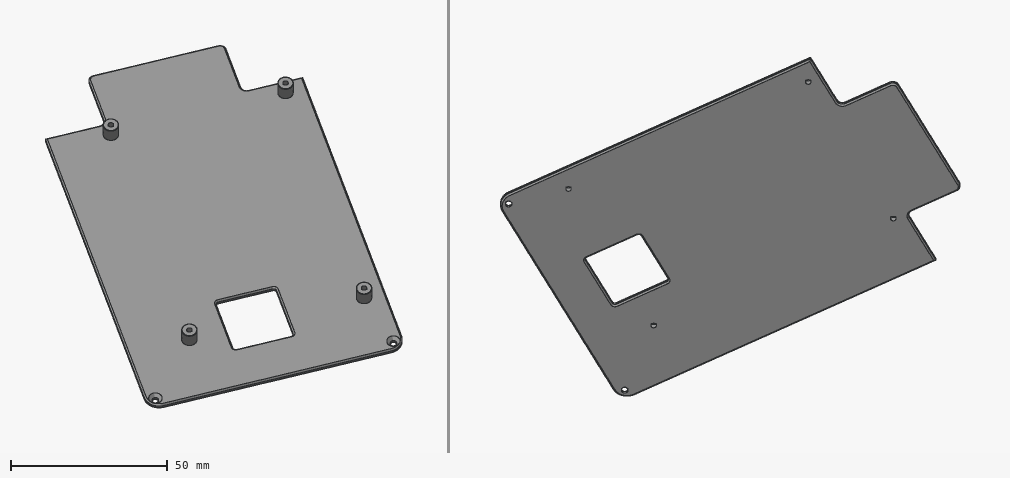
import cadquery as cq

OVERALL_LENGTH = 133.7
PLATE_WIDTH = 85.7
PLATE_THICKNESS = 2.0
TAB_LENGTH = 20.0
TAB_WIDTH = 45.6
TAB_TIP_RADIUS = 2.0
TAB_ROOT_RADIUS = 2.0
END_CORNER_RADIUS = 5.0
EDGE_CHAMFER = 0.5

WINDOW_SIZE = 20.0
WINDOW_CENTER_X = 108.8
WINDOW_CORNER_RADIUS = 1.0

SCREW_INSET = 3.2
SCREW_HOLE_DIAMETER = 2.1
COUNTERSINK_DIAMETER = 4.3
COUNTERSINK_ANGLE = 90.0

STANDOFF_DIAMETER = 5.0
STANDOFF_HEIGHT = 5.0
STANDOFF_BORE = 1.7
STANDOFF_FIRST_X = 24.6
STANDOFF_PITCH_X = 86.4
STANDOFF_PITCH_Y = 58.2
STANDOFF_CENTER_Y = 6.7
STANDOFF_TIP_CHAMFER = 0.1

body_length = OVERALL_LENGTH - TAB_LENGTH
screw_x = OVERALL_LENGTH - SCREW_INSET
screw_offset_y = PLATE_WIDTH / 2 - SCREW_INSET
screw_points = [(screw_x, -screw_offset_y), (screw_x, screw_offset_y)]
standoff_points = [
    (STANDOFF_FIRST_X + column * STANDOFF_PITCH_X, STANDOFF_CENTER_Y + side * STANDOFF_PITCH_Y / 2)
    for column in (0, 1)
    for side in (-1, 1)
]


def make_plate_blank():
    """Tabbed outline with rounded corners, lying on Z = 0 with the tab tip at X = 0."""
    body = cq.Workplane("XY", origin=(TAB_LENGTH, 0, 0)).box(
        body_length, PLATE_WIDTH, PLATE_THICKNESS, centered=(False, True, False)
    )
    tab = cq.Workplane("XY").box(
        TAB_LENGTH, TAB_WIDTH, PLATE_THICKNESS, centered=(False, True, False)
    )
    blank = body.union(tab).clean()
    tab_roots = [
        cq.selectors.NearestToPointSelector((TAB_LENGTH, side * TAB_WIDTH / 2, PLATE_THICKNESS / 2))
        for side in (-1, 1)
    ]
    blank = blank.edges(tab_roots[0] + tab_roots[1]).fillet(TAB_ROOT_RADIUS)
    blank = blank.edges("|Z and <X").fillet(TAB_TIP_RADIUS)
    return blank.edges("|Z and >X").fillet(END_CORNER_RADIUS)


def cut_window(plate):
    window = (
        cq.Workplane("XY")
        .center(WINDOW_CENTER_X, 0)
        .rect(WINDOW_SIZE, WINDOW_SIZE)
        .extrude(PLATE_THICKNESS)
        .edges("|Z")
        .fillet(WINDOW_CORNER_RADIUS)
    )
    return plate.cut(window)


def cut_screw_holes(plate):
    top = plate.faces(">Z").workplane(origin=(0, 0, PLATE_THICKNESS))
    return top.pushPoints(screw_points).cskHole(
        SCREW_HOLE_DIAMETER, COUNTERSINK_DIAMETER, COUNTERSINK_ANGLE
    )


def cut_standoff_bores(plate):
    """Holes through the plate that continue the standoff bores."""
    top = plate.faces(">Z").workplane(origin=(0, 0, PLATE_THICKNESS))
    return top.pushPoints(standoff_points).hole(STANDOFF_BORE)


def make_plate():
    """Plate with all outline and window rims chamfered before the round holes are cut."""
    plate = cut_window(make_plate_blank())
    plate = plate.faces("|Z").edges().chamfer(EDGE_CHAMFER)
    plate = cut_screw_holes(plate)
    return cut_standoff_bores(plate)


def make_standoff(x, y):
    """Tube with a chamfered outer tip, standing on the top face of the plate."""
    post = (
        cq.Workplane("XY", origin=(x, y, PLATE_THICKNESS))
        .circle(STANDOFF_DIAMETER / 2)
        .extrude(STANDOFF_HEIGHT)
    )
    post = post.faces(">Z").chamfer(STANDOFF_TIP_CHAMFER)
    return post.faces(">Z").workplane().hole(STANDOFF_BORE)


plate = make_plate()
standoffs = [make_standoff(x, y) for x, y in standoff_points]
result = cq.Compound.makeCompound([plate.val(), *[standoff.val() for standoff in standoffs]])